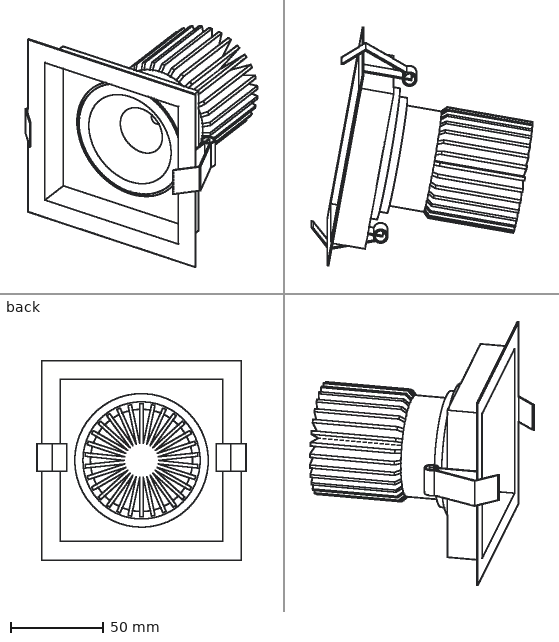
import cadquery as cq


frame_side = 108.0
sheet = 0.8
opening_side = 86.0
box_side = opening_side + 2 * sheet
box_back = 19.0
floor_y = box_back - sheet

large_step_radius = 36.1
small_step_radius = 31.7
neck_radius = 27.6
step_length = 4.9
large_step_back = box_back + step_length
small_step_back = large_step_back + step_length
neck_back = 48.1

gap_outer_radius = 34.3
gap_inner_radius = 32.9
gap_back = box_back

reflector_radius = 26.6
throat_radius = 13.6
throat_depth = 11.2
throat_y = floor_y + throat_depth
bowl_mouth_radius = 20.9
bowl_depth = 14.8
bowl_bulge = 1.4
emitter_radius = 3.2

sink_back = 97.8
fin_count = 30
fin_thick = 1.9
fin_radius = 30.6
fin_taper = fin_radius - neck_radius

clip_bottom = -5.9
clip_top = 9.0
tab_back = small_step_back
coil_x = 44.4
coil_y = 27.6
coil_radius = 3.8
strip_thick = 0.9
arm_top_x = 47.6
arm_top_y = 25.5
elbow_x = 56.6
elbow_y = 1.4
toe_x = 46.2
toe_y = sink_back - frame_side


def square_block(side, front_y, back_y):
    """Square block centred on the lamp axis between two Y positions."""
    return cq.Workplane("XY").box(side, back_y - front_y, side).translate((0, (front_y + back_y) / 2, 0))


def cylinder(radius, front_y, back_y):
    """Round block on the lamp axis between two Y positions."""
    return cq.Workplane("XZ", origin=(0, front_y, 0)).circle(radius).extrude(front_y - back_y)


def revolved(outline):
    """Turn a closed (radius, y) outline around the lamp axis."""
    return outline.close().revolve(360, (0, 0, 0), (0, 1, 0))


def trim_frame():
    """Flat square frame with the box behind it, open to the front."""
    frame = square_block(frame_side, 0, sheet)
    box = square_block(box_side, 0, box_back)
    recess = square_block(opening_side, 0, floor_y)
    return frame.union(box).cut(recess)


def housing():
    """Two round steps and the neck that carries the heat sink."""
    large_step = cylinder(large_step_radius, floor_y, large_step_back)
    small_step = cylinder(small_step_radius, floor_y, small_step_back)
    neck = cylinder(neck_radius, floor_y, neck_back)
    return large_step.union(small_step).union(neck)


def shadow_gap():
    """Narrow ring groove around the lamp insert."""
    return cylinder(gap_outer_radius, floor_y, gap_back).cut(cylinder(gap_inner_radius, floor_y, gap_back))


def lamp_cavity():
    """Reflector cone, then the bowl with a small flat for the emitter."""
    bowl_back = throat_y + bowl_depth
    outline = (
        cq.Workplane("XY")
        .moveTo(0, floor_y)
        .lineTo(reflector_radius, floor_y)
        .lineTo(throat_radius, throat_y)
        .lineTo(bowl_mouth_radius, throat_y)
        .sagittaArc((emitter_radius, bowl_back), -bowl_bulge)
        .lineTo(0, bowl_back)
    )
    return revolved(outline)


def heat_sink():
    """Radial fins merging at the axis, whose outer front corners slope down to the neck."""
    envelope = revolved(
        cq.Workplane("XY")
        .moveTo(0, neck_back)
        .lineTo(neck_radius, neck_back)
        .lineTo(fin_radius, neck_back + fin_taper)
        .lineTo(fin_radius, sink_back)
        .lineTo(0, sink_back)
    )
    sink_length = sink_back - neck_back
    rough_fin_height = fin_radius + fin_taper
    fin = (
        cq.Workplane("XY")
        .box(fin_thick, sink_length, rough_fin_height, centered=(True, False, False))
        .translate((0, neck_back, 0))
    )
    fins = fin
    for index in range(1, fin_count):
        fins = fins.union(fin.rotate((0, 0, 0), (0, 1, 0), index * 360 / fin_count))
    return fins.intersect(envelope)


def spring_clip():
    """Upright tab on the box side, coil around its end, and the bent spring arm."""
    height = clip_top - clip_bottom
    plane = cq.Workplane("XY", origin=(0, 0, clip_bottom))
    tab_x = box_side / 2
    tab = plane.moveTo(tab_x, 0).lineTo(tab_x + sheet, 0).lineTo(tab_x + sheet, tab_back)
    tab = tab.lineTo(tab_x, tab_back).close().extrude(height)
    coil = plane.center(coil_x, coil_y).circle(coil_radius).circle(coil_radius - strip_thick).extrude(height)
    toe_rise = strip_thick * (elbow_y - toe_y) / (elbow_x - toe_x)
    arm = (
        plane.moveTo(arm_top_x, arm_top_y)
        .lineTo(elbow_x, elbow_y)
        .lineTo(toe_x, toe_y)
        .lineTo(toe_x, toe_y + toe_rise)
        .lineTo(elbow_x - strip_thick, elbow_y)
        .lineTo(arm_top_x - strip_thick, arm_top_y)
        .close()
        .extrude(height)
    )
    return tab.union(coil).union(arm)


right_clip = spring_clip()
left_clip = right_clip.mirror("YZ")

result = (
    trim_frame()
    .union(housing())
    .cut(shadow_gap())
    .cut(lamp_cavity())
    .union(heat_sink())
    .union(right_clip)
    .union(left_clip)
)